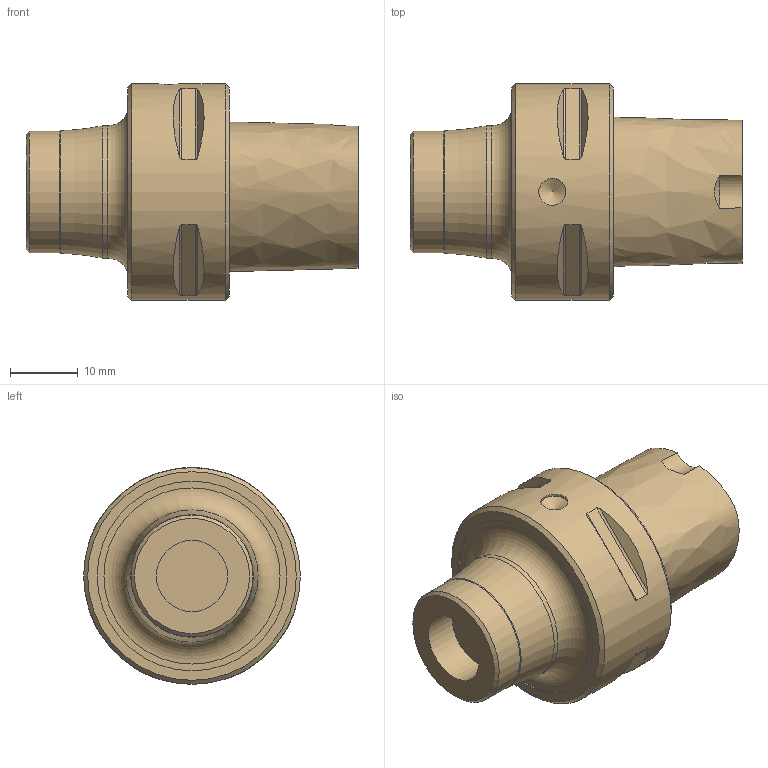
import cadquery as cq
import math


overall_length = 49.0
nose_end = 4.9
taper_start = 5.05
neck_start = 11.25
neck_end = 12.0
flange_front = 15.0
flange_back = 30.0

nose_radius = 18.0 / 2
nose_chamfer = 0.5
taper_step = 0.05
neck_radius = 19.5 / 2
taper_hollow = 0.12
bore_radius = 10.5 / 2
bore_depth = 5.0

flange_radius = 32.0 / 2
flange_chamfer = 0.6
neck_fillet = 3.25
recess_radius = 14.0

shank_mean_radius = 11.05
shank_taper = 1.0 / 20
lobe_eccentricity = 0.7
curve_points = 72

keyway_radius = 3.0
keyway_length = 3.3
keyway_axis_height = 11.55

slot_center_x = 24.0
slot_floor_distance = 14.2
slot_floor_width = 2.5
slot_wall_angle = math.radians(30)
slot_corner_radius = 0.4
slot_count = 4

dimple_x = 21.0
dimple_radius = 4.0 / 2
dimple_rim_depth = 0.4

drill_half_angle = math.radians(60)

cut_overshoot = 1.0


def turned_body():
    fillet_x = neck_end + neck_fillet
    fillet_r = neck_radius + neck_fillet
    fillet_mid_x = neck_end + neck_fillet * math.sin(math.pi / 4)
    fillet_mid_r = fillet_r - neck_fillet * math.cos(math.pi / 4)
    taper_radius = nose_radius + taper_step
    taper_mid_x = (taper_start + neck_start) / 2
    taper_mid_r = (taper_radius + neck_radius) / 2 - taper_hollow
    profile = (
        cq.Workplane("XY")
        .lineTo(0, nose_radius - nose_chamfer)
        .lineTo(nose_chamfer, nose_radius)
        .lineTo(nose_end, nose_radius)
        .lineTo(taper_start, taper_radius)
        .threePointArc((taper_mid_x, taper_mid_r), (neck_start, neck_radius))
        .lineTo(neck_end, neck_radius)
        .threePointArc((fillet_mid_x, fillet_mid_r), (fillet_x, fillet_r))
        .lineTo(fillet_x, recess_radius)
        .lineTo(flange_front, recess_radius)
        .lineTo(flange_front, flange_radius - flange_chamfer)
        .lineTo(flange_front + flange_chamfer, flange_radius)
        .lineTo(flange_back - flange_chamfer, flange_radius)
        .lineTo(flange_back, flange_radius - flange_chamfer)
        .lineTo(flange_back, 0)
        .close()
    )
    return profile.revolve(360, (0, 0, 0), (1, 0, 0))


def lobe_point(mean_radius, angle):
    """Point (y, z) of the three-lobed curve; angle 0 is the lobe pointing to -Z."""
    support = mean_radius + lobe_eccentricity * math.cos(3 * angle)
    slope = -3 * lobe_eccentricity * math.sin(3 * angle)
    y = support * math.sin(angle) + slope * math.cos(angle)
    z = -support * math.cos(angle) + slope * math.sin(angle)
    return (y, z)


def lobe_curve(mean_radius):
    step = 2 * math.pi / curve_points
    return [lobe_point(mean_radius, i * step) for i in range(curve_points)]


def shank():
    length = overall_length - flange_back
    end_mean_radius = shank_mean_radius - length * shank_taper / 2
    return (
        cq.Workplane("YZ", origin=(flange_back, 0, 0))
        .spline(lobe_curve(shank_mean_radius), periodic=True).close()
        .workplane(offset=length)
        .spline(lobe_curve(end_mean_radius), periodic=True).close()
        .loft(ruled=True)
    )


def drilled_hole(radius, straight_depth):
    """Drill shape pointing down -Z, with its straight part starting at the origin."""
    tip_length = radius / math.tan(drill_half_angle)
    return (
        cq.Workplane("XZ")
        .moveTo(0, cut_overshoot)
        .lineTo(radius, cut_overshoot)
        .lineTo(radius, -straight_depth)
        .lineTo(0, -straight_depth - tip_length)
        .close()
        .revolve(360, (0, 0, 0), (0, 1, 0))
    )


def keyway():
    drill = drilled_hole(keyway_radius, keyway_length)
    return drill.rotate((0, 0, 0), (0, 1, 0), 90).translate((overall_length, 0, keyway_axis_height))


def dimple():
    drill = drilled_hole(dimple_radius, dimple_rim_depth)
    return drill.translate((dimple_x, 0, flange_radius))


def gripper_slot(angle):
    height = flange_radius - slot_floor_distance + cut_overshoot
    half_floor = slot_floor_width / 2
    half_top = half_floor + height * math.tan(slot_wall_angle)
    slot = (
        cq.Workplane("XZ", origin=(slot_center_x, 0, slot_floor_distance))
        .polyline([(-half_floor, 0), (half_floor, 0), (half_top, height), (-half_top, height)])
        .close()
        .extrude(flange_radius, both=True)
        .edges("<Z and |Y")
        .fillet(slot_corner_radius)
    )
    return slot.rotate((0, 0, 0), (1, 0, 0), angle)


def bore():
    return cq.Workplane("YZ").circle(bore_radius).extrude(bore_depth)


result = turned_body().union(shank()).cut(bore()).cut(keyway()).cut(dimple())
slot_spacing = 360 / slot_count
for i in range(slot_count):
    result = result.cut(gripper_slot((i + 0.5) * slot_spacing))